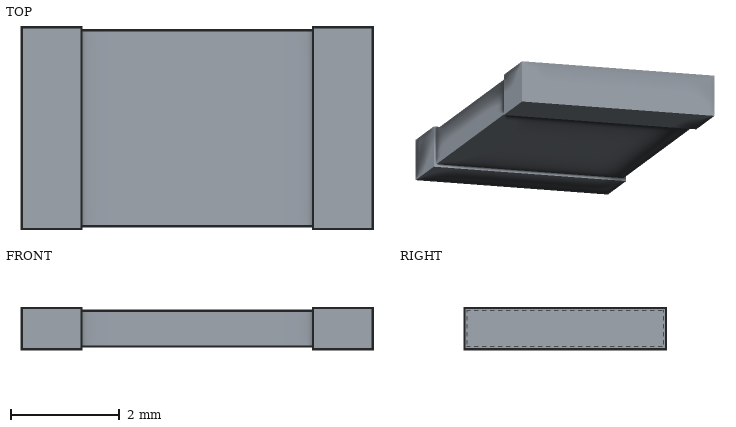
import cadquery as cq

length = 6.45
width = 3.71
height = 0.76

terminal_length = 1.1
terminal_step = 0.05

body_length = length - 2 * terminal_length
body_width = width - 2 * terminal_step
body_height = height - 2 * terminal_step


def make_body():
    """Plain slab that fills the space between the two terminals."""
    return cq.Workplane("XY").box(body_length, body_width, body_height)


def make_terminal(side):
    """End block on the -X (side = -1) or +X (side = 1) end of the body."""
    center_x = side * (length - terminal_length) / 2
    return cq.Workplane("XY").box(terminal_length, width, height).translate((center_x, 0, 0))


body = make_body()

terminals = []
for side in (-1, 1):
    terminals.append(make_terminal(side).val())

result = cq.Compound.makeCompound([body.val(), *terminals])